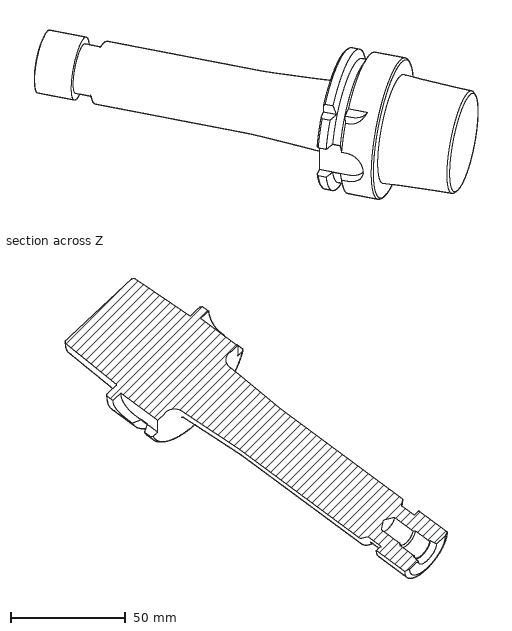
import cadquery as cq
import math


nose_length = 17.5
nose_radius = 28.0 / 2
nose_face_radius = 11.7
nose_chamfer_length = 0.8
neck_radius = 22.0 / 2
neck_end = 25.0
neck_fillet = 1.0

body_radius = nose_radius
body_shoulder_angle = 60
body_edge_fillet = 1.2
cone_start = 98.0
cone_end = 127.9
cone_end_radius = 31.3 / 2
cone_blend_reach = 0.8

overall_length = 192
flange_radius = 63.0 / 2
flange_front = 134.0
flange_back = 160.0
flange_edge_chamfer = 0.8
root_fillet = 5.2
root_ring_radius = 21.9
root_ring_depth = 0.2

groove_center = 141.9
groove_bottom_width = 3.5
groove_radius = 27.6
groove_flank_angle = 65

shank_start_radius = 48.4 / 2
shank_end_radius = 45.7 / 2
shank_chamfer = 1.0

slot_floor = 26.3
slot_end = 155.5
narrow_slot_width = 16.0
wide_slot_width = 18.0
wide_slot_end_flat = 1.5
notch_floor_z = 19.8
notch_wall_y = 20.0
notch_cutter_radius = 7.9
notch_cutter_center = 146.9

hole_mouth_diameter = 12.0
hole_mouth_depth = 3.3
hole_mouth_end_diameter = 11.0
hole_diameter = 10.0
hole_depth = 11.5
inner_hole_diameter = 8.5
inner_hole_depth = 23.0
drill_point_angle = 118


def ring_edge(solid, x, radius):
    """Circular edges of the turned body at one axial place and radius."""
    tolerance = 0.02
    return [
        edge for edge in solid.Edges()
        if edge.geomType() == "CIRCLE"
        and abs(edge.Center().x - x) < tolerance
        and abs(edge.radius() - radius) < tolerance
    ]


def make_turned_body():
    shoulder_run = (body_radius - neck_radius) / math.tan(math.radians(body_shoulder_angle))
    cone_angle = math.atan((cone_end_radius - body_radius) / (cone_end - cone_start))
    blend_run = cone_blend_reach * math.cos(cone_angle)
    blend_rise = cone_blend_reach * math.sin(cone_angle)
    root_x = flange_front + root_ring_depth - root_fillet
    root_edge_radius = cone_end_radius + root_fillet
    arc_mid = root_fillet * math.sqrt(0.5)
    flank_run = (flange_radius - groove_radius) / math.tan(math.radians(groove_flank_angle))
    groove_left = groove_center - groove_bottom_width / 2
    groove_right = groove_center + groove_bottom_width / 2

    profile = (
        cq.Workplane("XY")
        .moveTo(0, 0)
        .lineTo(0, nose_face_radius)
        .lineTo(nose_chamfer_length, nose_radius)
        .lineTo(nose_length, nose_radius)
        .lineTo(nose_length, neck_radius)
        .lineTo(neck_end, neck_radius)
        .lineTo(neck_end + shoulder_run, body_radius)
        .lineTo(cone_start - cone_blend_reach, body_radius)
        .tangentArcPoint((cone_start + blend_run, body_radius + blend_rise), relative=False)
        .lineTo(cone_end, cone_end_radius)
        .lineTo(root_x, cone_end_radius)
        .threePointArc(
            (root_x + arc_mid, root_edge_radius - arc_mid),
            (root_x + root_fillet, root_edge_radius),
        )
        .lineTo(flange_front, root_ring_radius)
        .lineTo(flange_front, flange_radius - flange_edge_chamfer)
        .lineTo(flange_front + flange_edge_chamfer, flange_radius)
        .lineTo(groove_left - flank_run, flange_radius)
        .lineTo(groove_left, groove_radius)
        .lineTo(groove_right, groove_radius)
        .lineTo(groove_right + flank_run, flange_radius)
        .lineTo(flange_back - flange_edge_chamfer, flange_radius)
        .lineTo(flange_back, flange_radius - flange_edge_chamfer)
        .lineTo(flange_back, shank_start_radius)
        .lineTo(overall_length - shank_chamfer, shank_end_radius)
        .lineTo(overall_length, shank_end_radius - shank_chamfer)
        .lineTo(overall_length, 0)
        .close()
    )
    solid = profile.revolve(360, (0, 0, 0), (1, 0, 0)).val()
    solid = solid.fillet(neck_fillet, ring_edge(solid, neck_end, neck_radius))
    solid = solid.fillet(body_edge_fillet, ring_edge(solid, neck_end + shoulder_run, body_radius))
    return cq.Workplane(solid)


def make_narrow_slot():
    """Drive slot on the -Y side, with a full round end."""
    length = 2 * (slot_end - flange_front)
    return (
        cq.Workplane("XZ", origin=(flange_front, -slot_floor, 0))
        .slot2D(length, narrow_slot_width)
        .extrude(flange_radius)
    )


def make_wide_slot():
    """Drive slot on the +Y side, with two rounded corners and a short flat at its end."""
    length = 2 * (slot_end - flange_front)
    corner_radius = (wide_slot_width - wide_slot_end_flat) / 2
    return (
        cq.Workplane("XZ", origin=(flange_front, slot_floor, 0))
        .rect(length, wide_slot_width)
        .extrude(-flange_radius)
        .edges("|Y")
        .fillet(corner_radius)
    )


def make_notch():
    """Locating notch high on the -Y side, running out along the cutter radius."""
    return (
        cq.Workplane("XZ", origin=(0, -notch_wall_y, 0))
        .moveTo(flange_front, notch_floor_z)
        .lineTo(notch_cutter_center, notch_floor_z)
        .radiusArc(
            (notch_cutter_center + notch_cutter_radius, notch_floor_z + notch_cutter_radius),
            -notch_cutter_radius,
        )
        .lineTo(flange_front, notch_floor_z + notch_cutter_radius)
        .close()
        .extrude(flange_radius)
    )


def make_nose_hole():
    """Blind hole with a tapered mouth, two diameters and a drill point."""
    mouth_radius = hole_mouth_diameter / 2
    mouth_end_radius = hole_mouth_end_diameter / 2
    hole_radius = hole_diameter / 2
    inner_radius = inner_hole_diameter / 2
    point_length = inner_radius / math.tan(math.radians(drill_point_angle / 2))
    return (
        cq.Workplane("XY")
        .moveTo(0, 0)
        .lineTo(0, mouth_radius)
        .lineTo(hole_mouth_depth, mouth_end_radius)
        .lineTo(hole_mouth_depth, hole_radius)
        .lineTo(hole_depth, hole_radius)
        .lineTo(hole_depth + hole_radius - inner_radius, inner_radius)
        .lineTo(inner_hole_depth, inner_radius)
        .lineTo(inner_hole_depth + point_length, 0)
        .close()
        .revolve(360, (0, 0, 0), (1, 0, 0))
    )


result = (
    make_turned_body()
    .cut(make_narrow_slot())
    .cut(make_wide_slot())
    .cut(make_notch())
    .cut(make_nose_hole())
)